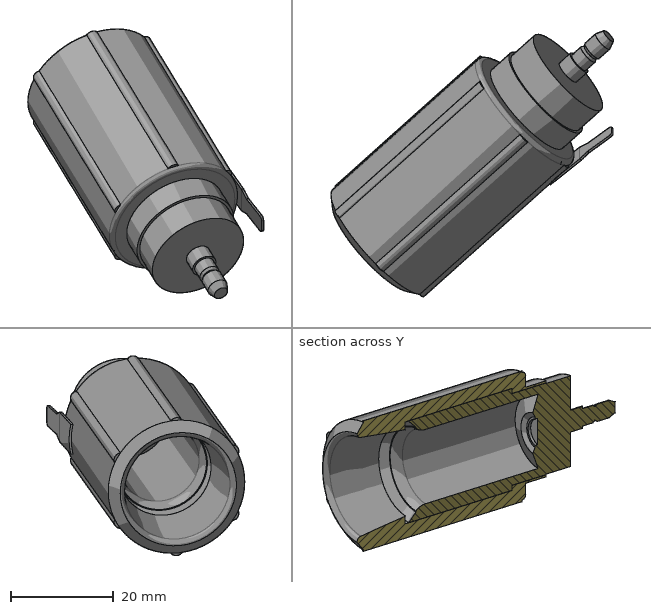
import cadquery as cq
import math


sleeve_radius = 13.6
rim_radius = 11.6
front_chamfer_length = 1.6
barrel_end = 41.6
rear_round = 0.9
collar_radius = 10.3
collar_end = 46.55

mouth_round = 1.1
bore_taper = 6.8
bore_end = 11.95
socket_radius = 10.8

rib_count = 6
height_over_ribs = 28.3
rib_round = 1.35

core_radius = 9.7
flange_end = 38.15
core_end = 52.6
pin_root_radius = 2.5
pin_root_end = 55.55
pin_radius = 2.05
groove_start = 58.05
groove_width = 1.1
groove_depth = 0.4
pin_tip_start = 62.0
pin_tip_radius = 1.4
pin_end = 63.6

funnel_start = 12.7
funnel_end_radius = 9.0
cavity_mouth_radius = 8.85
cavity_radius = 7.9
cavity_mouth_length = 2.3
cavity_end = 44.5
cone_top_radius = 4.4
cone_height = 1.3
dish_radius = 3.3
dish_depth = 0.6
well_radius = 2.85
well_depth = 0.65

clip_start = 34.6
clip_bend = 42.45
clip_end = 50.3
clip_thickness = 0.45
clip_base_half_width = 3.05
clip_arm_half_width = 2.1
clip_taper_length = 1.9
clip_bend_height = 13.7
clip_tip_height = 15.0
clip_corner_round = 0.75


def turn(profile):
    """Revolve a closed (x, radius) profile about the X axis."""
    return profile.close().revolve(360, (0, 0, 0), (1, 0, 0))


def make_sleeve():
    taper = math.radians(bore_taper)
    mouth_length = mouth_round * (1 - math.sin(taper))
    mouth_radius = rim_radius - mouth_round * math.cos(taper)
    bore_end_radius = mouth_radius - (bore_end - mouth_length) * math.tan(taper)
    rear_round_start = barrel_end - rear_round
    body = turn(
        cq.Workplane("XY")
        .moveTo(0, rim_radius)
        .lineTo(front_chamfer_length, sleeve_radius)
        .lineTo(rear_round_start, sleeve_radius)
        .tangentArcPoint((barrel_end, sleeve_radius - rear_round), relative=False)
        .lineTo(barrel_end, collar_radius)
        .lineTo(collar_end, collar_radius)
        .lineTo(collar_end, core_radius)
        .lineTo(flange_end, core_radius)
        .lineTo(flange_end, socket_radius)
        .lineTo(bore_end, socket_radius)
        .lineTo(bore_end, bore_end_radius)
        .lineTo(mouth_length, mouth_radius)
        .radiusArc((0, rim_radius), mouth_round)
    )
    rib_tip_radius = height_over_ribs / 2
    rib_length = rear_round_start - front_chamfer_length
    rib = (
        cq.Workplane("YZ", origin=(front_chamfer_length, 0, 0))
        .center(0, rib_tip_radius - rib_round)
        .circle(rib_round)
        .extrude(rib_length)
    )
    for index in range(rib_count):
        angle = index * 360 / rib_count
        body = body.union(rib.rotate((0, 0, 0), (1, 0, 0), angle))
    return body.solids()


def make_core():
    groove_middle = groove_start + groove_width / 2
    groove_end = groove_start + groove_width
    cone_top = cavity_end - cone_height
    dish_floor = cone_top + dish_depth
    well_floor = dish_floor + well_depth
    funnel_end = funnel_start + socket_radius - funnel_end_radius
    mouth_step = cavity_mouth_radius - cavity_radius
    mouth_arc_radius = (cavity_mouth_length**2 + mouth_step**2) / (2 * mouth_step)
    return turn(
        cq.Workplane("XY")
        .moveTo(funnel_end, cavity_mouth_radius)
        .lineTo(funnel_end, funnel_end_radius)
        .lineTo(funnel_start, socket_radius)
        .lineTo(flange_end, socket_radius)
        .lineTo(flange_end, core_radius)
        .lineTo(core_end, core_radius)
        .lineTo(core_end, pin_root_radius)
        .lineTo(pin_root_end, pin_root_radius)
        .lineTo(pin_root_end, pin_radius)
        .lineTo(groove_start, pin_radius)
        .lineTo(groove_middle, pin_radius - groove_depth)
        .lineTo(groove_end, pin_radius)
        .lineTo(pin_tip_start, pin_radius)
        .lineTo(pin_end, pin_tip_radius)
        .lineTo(pin_end, 0)
        .lineTo(well_floor, 0)
        .lineTo(well_floor, well_radius)
        .lineTo(dish_floor, well_radius)
        .lineTo(dish_floor, dish_radius)
        .lineTo(cone_top, cone_top_radius)
        .lineTo(cavity_end, cavity_radius)
        .lineTo(funnel_end + cavity_mouth_length, cavity_radius)
        .radiusArc((funnel_end, cavity_mouth_radius), mouth_arc_radius)
    )


def height_on_circle(radius, z):
    return math.sqrt(radius**2 - z**2)


def make_clip():
    side = clip_base_half_width
    outer_radius = sleeve_radius + clip_thickness
    bend_top = clip_bend_height + clip_thickness
    base = (
        cq.Workplane("YZ", origin=(clip_start, 0, 0))
        .moveTo(height_on_circle(sleeve_radius, side), -side)
        .threePointArc((sleeve_radius, 0), (height_on_circle(sleeve_radius, side), side))
        .lineTo(height_on_circle(outer_radius, side), side)
        .threePointArc((outer_radius, 0), (height_on_circle(outer_radius, side), -side))
        .close()
        .workplane(offset=clip_bend - clip_start)
        .moveTo(clip_bend_height, -side)
        .lineTo(clip_bend_height, side)
        .lineTo(bend_top, side)
        .lineTo(bend_top, -side)
        .close()
        .loft(ruled=True)
    )
    arm_side = (
        cq.Workplane("XY", origin=(0, 0, -side))
        .moveTo(clip_bend, clip_bend_height)
        .lineTo(clip_end, clip_tip_height - clip_thickness)
        .lineTo(clip_end, clip_tip_height)
        .lineTo(clip_bend, bend_top)
        .close()
        .extrude(2 * side)
    )
    taper_end = clip_bend + clip_taper_length
    arm_outline = (
        cq.Workplane("XZ")
        .moveTo(clip_bend, -side)
        .lineTo(taper_end, -clip_arm_half_width)
        .lineTo(clip_end, -clip_arm_half_width)
        .lineTo(clip_end, clip_arm_half_width)
        .lineTo(taper_end, clip_arm_half_width)
        .lineTo(clip_bend, side)
        .close()
        .extrude(-2 * clip_tip_height)
        .edges("|Y and >X")
        .fillet(clip_corner_round)
    )
    return base.union(arm_side.intersect(arm_outline)).solids()


sleeve = make_sleeve()
core = make_core()
clip = make_clip()

result = cq.Compound.makeCompound([sleeve.val(), core.val(), clip.val()])